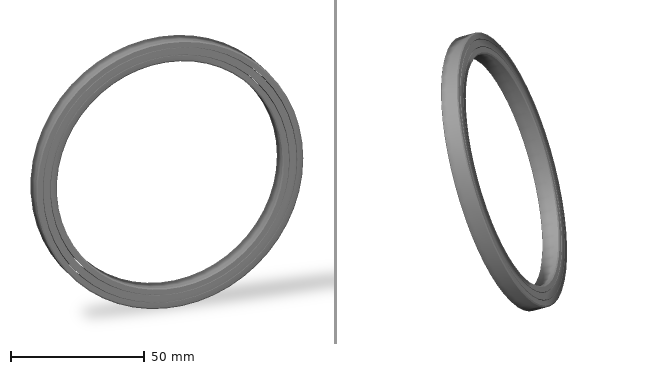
import cadquery as cq

WIDTH = 7.0
OUTER_DIAMETER = 106.5
OUTER_RING_BORE = 101.5
MIDDLE_RING_DIAMETER = 101.0
MIDDLE_RING_BORE = 95.5
INNER_RING_DIAMETER = 95.0
INNER_RING_BORE = 90.0

BEVEL_RADIAL = 0.5
BEVEL_AXIAL = 0.35


def revolve_about_x(profile):
    """Solid of revolution about the X axis from a closed list of (x, radius) points."""
    return cq.Workplane("XY").polyline(profile).close().revolve(360, (0, 0, 0), (1, 0, 0))


def make_outer_ring():
    """Outer ring with a plain bore and bevelled outside edges."""
    face_x = WIDTH / 2
    rim_x = face_x - BEVEL_AXIAL
    rim_radius = OUTER_DIAMETER / 2
    corner_radius = rim_radius - BEVEL_RADIAL
    bore_radius = OUTER_RING_BORE / 2
    return revolve_about_x([
        (-face_x, bore_radius),
        (face_x, bore_radius),
        (face_x, corner_radius),
        (rim_x, rim_radius),
        (-rim_x, rim_radius),
        (-face_x, corner_radius),
    ])


def make_middle_ring():
    """Plain ring between the outer and inner rings, with clearance on both sides."""
    face_x = WIDTH / 2
    rim_radius = MIDDLE_RING_DIAMETER / 2
    bore_radius = MIDDLE_RING_BORE / 2
    return revolve_about_x([
        (-face_x, bore_radius),
        (face_x, bore_radius),
        (face_x, rim_radius),
        (-face_x, rim_radius),
    ])


def make_inner_ring():
    """Inner ring with a plain rim and bevelled bore edges."""
    face_x = WIDTH / 2
    bore_x = face_x - BEVEL_AXIAL
    bore_radius = INNER_RING_BORE / 2
    corner_radius = bore_radius + BEVEL_RADIAL
    rim_radius = INNER_RING_DIAMETER / 2
    return revolve_about_x([
        (-face_x, rim_radius),
        (face_x, rim_radius),
        (face_x, corner_radius),
        (bore_x, bore_radius),
        (-bore_x, bore_radius),
        (-face_x, corner_radius),
    ])


outer_ring = make_outer_ring()
middle_ring = make_middle_ring()
inner_ring = make_inner_ring()

result = cq.Compound.makeCompound([outer_ring.val(), middle_ring.val(), inner_ring.val()])